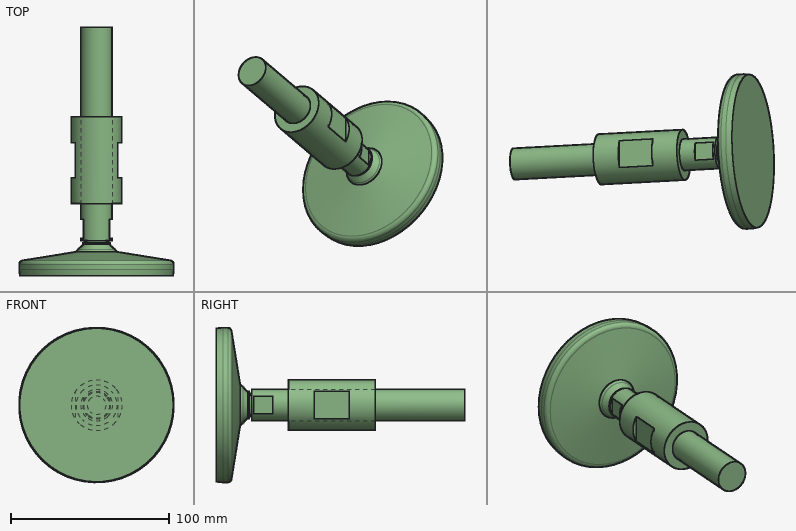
import cadquery as cq


foot_radius = 49.0
underside_radius = 48.5
rim_bottom = 4.1
rim_top = 7.2
shoulder_radius = 46.0
shoulder_height = 9.9
shoulder_bulge_radius = 48.0
shoulder_bulge_height = 9.1
collar_base_radius = 12.9
collar_base_height = 15.2
collar_radius = 11.8
collar_height = 16.6
collar_top_radius = 8.2
collar_top_height = 20.0
lip_radius = 8.8
lip_height = 20.7

spindle_radius = 20.0 / 2
spindle_start = 22.3
spindle_end = 157.0
neck_radius = 5.8
neck_flare_radius = 8.2
spindle_flat_start = 23.7
spindle_flat_end = 35.6
spindle_across_flats = 16.6

sleeve_radius = 32.0 / 2
sleeve_start = 45.5
sleeve_end = 100.5
sleeve_flat_length = 22.0
sleeve_across_flats = 27.0


def rod(radius, start, end):
    """Cylinder along Y between two heights."""
    return cq.Workplane("XZ", origin=(0, start, 0)).circle(radius).extrude(start - end)


def cut_flats(body, radius, across_flats, start, end):
    """Cut a pair of wrench flats, facing -X and +X, between two heights."""
    depth = radius - across_flats / 2
    for side in (-1, 1):
        cutter = cq.Workplane("XY").box(depth, end - start, 2 * radius)
        body = body.cut(cutter.translate((side * (radius - depth / 2), (start + end) / 2, 0)))
    return body


def make_foot():
    """Round foot with a rounded shoulder, sloping top and a central collar."""
    profile = (
        cq.Workplane("XY")
        .lineTo(underside_radius, 0)
        .lineTo(foot_radius, rim_bottom)
        .lineTo(foot_radius, rim_top)
        .threePointArc((shoulder_bulge_radius, shoulder_bulge_height), (shoulder_radius, shoulder_height))
        .lineTo(collar_base_radius, collar_base_height)
        .lineTo(collar_radius, collar_height)
        .lineTo(collar_top_radius, collar_top_height)
        .lineTo(lip_radius, lip_height)
        .lineTo(0, lip_height)
        .close()
    )
    return profile.revolve(360, (0, 0, 0), (0, 1, 0))


def make_spindle():
    """Long rod with wrench flats and a flared neck that rests on the foot."""
    shank = rod(spindle_radius, spindle_start, spindle_end)
    shank = cut_flats(shank, spindle_radius, spindle_across_flats, spindle_flat_start, spindle_flat_end)
    neck = (
        cq.Workplane("XY")
        .moveTo(0, lip_height)
        .lineTo(neck_flare_radius, lip_height)
        .lineTo(neck_radius, spindle_start)
        .lineTo(0, spindle_start)
        .close()
        .revolve(360, (0, 0, 0), (0, 1, 0))
    )
    return shank.union(neck)


def make_sleeve():
    """Sleeve around the spindle with wrench flats centred along its length."""
    middle = (sleeve_start + sleeve_end) / 2
    flat_start = middle - sleeve_flat_length / 2
    flat_end = middle + sleeve_flat_length / 2
    sleeve = rod(sleeve_radius, sleeve_start, sleeve_end)
    sleeve = sleeve.cut(rod(spindle_radius, sleeve_start, sleeve_end))
    return cut_flats(sleeve, sleeve_radius, sleeve_across_flats, flat_start, flat_end)


foot = make_foot()
spindle = make_spindle()
sleeve = make_sleeve()

result = cq.Compound.makeCompound([foot.val(), spindle.val(), sleeve.val()])